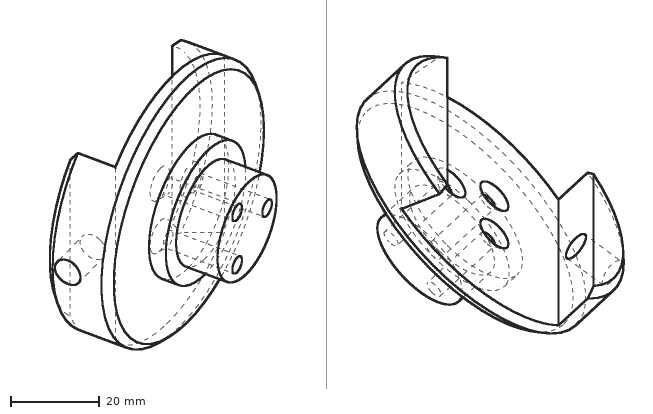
import cadquery as cq
import math

flange_diameter = 70.0
flange_thickness = 17.0
rim_chamfer = 2.0

collar_diameter = 35.0
collar_length = 4.5
spigot_diameter = 26.0
total_length = 32.5

channel_depth = 12.0
channel_half_width = 23.95
undercut_angle = 15.0

clamp_hole_diameter = 6.8
clamp_hole_x = 6.0

screw_circle_radius = 8.75
screw_count = 3
screw_diameter = 4.2
screw_head_diameter = 8.55
countersink_angle = 90.0


def cylinder(diameter, start_x, end_x, y=0.0, z=0.0):
    """Solid cylinder parallel to X."""
    return (
        cq.Workplane("YZ", origin=(start_x, y, z))
        .circle(diameter / 2)
        .extrude(end_x - start_x)
    )


def make_body():
    flange = (
        cylinder(flange_diameter, 0, flange_thickness)
        .faces("<X or >X").chamfer(rim_chamfer)
    )
    collar = cylinder(collar_diameter, channel_depth, flange_thickness + collar_length)
    spigot = cylinder(spigot_diameter, channel_depth, total_length)
    return flange.union(collar).union(spigot)


def make_channel():
    undercut = channel_depth * math.tan(math.radians(undercut_angle))
    return (
        cq.Workplane("XY")
        .moveTo(0, -channel_half_width)
        .lineTo(channel_depth, -channel_half_width)
        .lineTo(channel_depth, channel_half_width)
        .lineTo(0, channel_half_width - undercut)
        .close()
        .extrude(flange_diameter / 2, both=True)
    )


def make_clamp_hole():
    return (
        cq.Workplane("XZ", origin=(clamp_hole_x, 0, 0))
        .circle(clamp_hole_diameter / 2)
        .extrude(flange_diameter / 2)
    )


def make_screw_hole(angle):
    """Through hole with a conical head seat in the channel floor."""
    y = screw_circle_radius * math.cos(math.radians(angle))
    z = screw_circle_radius * math.sin(math.radians(angle))
    head_radius = screw_head_diameter / 2
    cone_height = head_radius / math.tan(math.radians(countersink_angle / 2))
    seat_center = cq.Vector(channel_depth, y, z)
    seat = cq.Solid.makeCone(head_radius, 0, cone_height, seat_center, cq.Vector(1, 0, 0))
    return cylinder(screw_diameter, channel_depth, total_length, y, z).union(cq.Workplane(seat))


result = make_body().cut(make_channel()).cut(make_clamp_hole())
for screw in range(screw_count):
    result = result.cut(make_screw_hole(screw * 360 / screw_count))